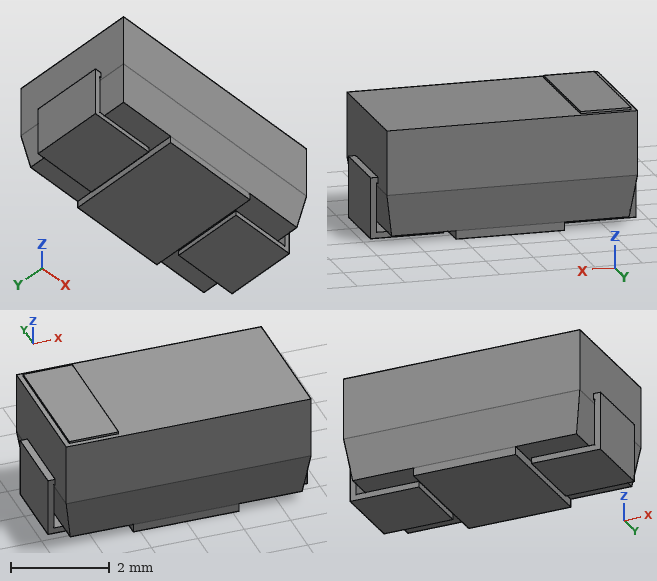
import cadquery as cq

TOTAL_LENGTH = 5.59
TOTAL_HEIGHT = 2.49

HOUSING_LENGTH = 5.275
HOUSING_WIDTH = 2.92
HOUSING_BOTTOM_Z = 0.18
PARTING_Z = 1.085
DRAFT_INSET = 0.14
STANDOFF_LENGTH = 2.28

BAND_THICKNESS = 0.045
BAND_LENGTH = 1.06
BAND_MARGIN = 0.105

LEAD_WIDTH = 1.625
LEAD_HEIGHT = 1.285
LEAD_THICKNESS = 0.13
FOOT_LENGTH = 1.54

HOUSING_TOP_Z = TOTAL_HEIGHT - BAND_THICKNESS
BASE_LENGTH = HOUSING_LENGTH - 2 * DRAFT_INSET
BASE_WIDTH = HOUSING_WIDTH - 2 * DRAFT_INSET


def make_housing():
    """Housing with tapered lower half and the standoff molded under it."""
    upper = (
        cq.Workplane("XY", origin=(0, 0, PARTING_Z))
        .rect(HOUSING_LENGTH, HOUSING_WIDTH)
        .extrude(HOUSING_TOP_Z - PARTING_Z)
    )
    lower = (
        cq.Workplane("XY", origin=(0, 0, HOUSING_BOTTOM_Z))
        .rect(BASE_LENGTH, BASE_WIDTH)
        .workplane(offset=PARTING_Z - HOUSING_BOTTOM_Z)
        .rect(HOUSING_LENGTH, HOUSING_WIDTH)
        .loft(ruled=True)
    )
    standoff = cq.Workplane("XY").rect(STANDOFF_LENGTH, BASE_WIDTH).extrude(HOUSING_BOTTOM_Z)
    return upper.union(lower).union(standoff)


def make_band():
    """Thin polarity band resting on the housing near its -X end."""
    center_x = -HOUSING_LENGTH / 2 + BAND_MARGIN + BAND_LENGTH / 2
    return (
        cq.Workplane("XY", origin=(center_x, 0, HOUSING_TOP_Z))
        .rect(BAND_LENGTH, HOUSING_WIDTH - 2 * BAND_MARGIN)
        .extrude(BAND_THICKNESS)
    )


def make_lead(side):
    """Lead at one end (side = -1 or 1): a foot, an upright and a short tab meeting the housing."""
    outer_x = TOTAL_LENGTH / 2
    inner_x = outer_x - LEAD_THICKNESS
    tab_x = HOUSING_LENGTH / 2
    foot_x = outer_x - FOOT_LENGTH
    tab_bottom_z = LEAD_HEIGHT - LEAD_THICKNESS
    profile = [
        (foot_x, 0),
        (outer_x, 0),
        (outer_x, LEAD_HEIGHT),
        (tab_x, LEAD_HEIGHT),
        (tab_x, tab_bottom_z),
        (inner_x, tab_bottom_z),
        (inner_x, LEAD_THICKNESS),
        (foot_x, LEAD_THICKNESS),
    ]
    return (
        cq.Workplane("XZ")
        .polyline([(side * x, z) for x, z in profile])
        .close()
        .extrude(LEAD_WIDTH / 2, both=True)
    )


housing = make_housing()
band = make_band()
leads = [make_lead(side) for side in (-1, 1)]

result = cq.Compound.makeCompound([housing.val(), band.val(), *[lead.val() for lead in leads]])